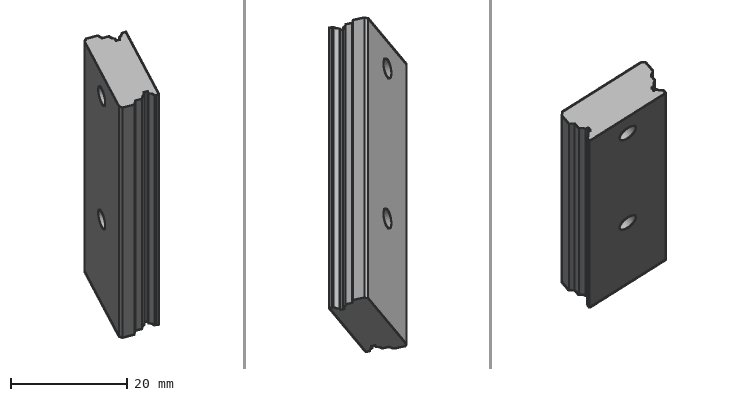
import cadquery as cq
import math

length = 56.0
base_width = 18.0
thickness = 7.5

head_width = 16.3
mount_chamfer = 0.5
base_side_top = 2.65
shoulder_top = 3.15
head_chamfer_top = 7.0
head_chamfer_width = 0.1

raceway_radius = 1.2
raceway_height = 5.55
raceway_offset = 8.4
slot_width = 0.7
neck_width = 13.5

hole_diameter = 3.5
hole_pitch = 30.0
first_hole_from_end = 5.45
hole_count = 2


def raceway_rise(x):
    """Height of the raceway arc above its centre at distance x from the rail's midplane."""
    return math.sqrt(raceway_radius**2 - (raceway_offset - x) ** 2)


def make_half_rail():
    """The half of the rail on the +X side of its midplane."""
    base_x = base_width / 2
    head_x = head_width / 2
    neck_x = neck_width / 2
    lip_x = head_x - head_chamfer_width
    half_slot = slot_width / 2

    slot_x = raceway_offset - math.sqrt(raceway_radius**2 - half_slot**2)
    slot_bottom = raceway_height - half_slot
    slot_top = raceway_height + half_slot

    lower_mid_x = (head_x + slot_x) / 2
    upper_mid_x = (lip_x + slot_x) / 2
    lower_mid = (lower_mid_x, raceway_height - raceway_rise(lower_mid_x))
    upper_mid = (upper_mid_x, raceway_height + raceway_rise(upper_mid_x))

    return (
        cq.Workplane("XY")
        .moveTo(0, 0)
        .lineTo(base_x - mount_chamfer, 0)
        .lineTo(base_x, mount_chamfer)
        .lineTo(base_x, base_side_top)
        .lineTo(head_x, shoulder_top)
        .lineTo(head_x, raceway_height - raceway_rise(head_x))
        .threePointArc(lower_mid, (slot_x, slot_bottom))
        .lineTo(neck_x, slot_bottom)
        .lineTo(neck_x, slot_top)
        .lineTo(slot_x, slot_top)
        .threePointArc(upper_mid, (lip_x, raceway_height + raceway_rise(lip_x)))
        .lineTo(head_x, head_chamfer_top)
        .lineTo(head_x, thickness)
        .lineTo(0, thickness)
        .close()
        .extrude(length)
    )


def make_holes():
    """Through holes along Y, spaced down from the +Z end."""
    top_hole_z = length - first_hole_from_end
    centers = [(0, top_hole_z - i * hole_pitch) for i in range(hole_count)]
    return (
        cq.Workplane("XZ")
        .pushPoints(centers)
        .circle(hole_diameter / 2)
        .extrude(-thickness)
    )


half_rail = make_half_rail()
rail = half_rail.union(half_rail.mirror("YZ")).clean()
result = rail.cut(make_holes())